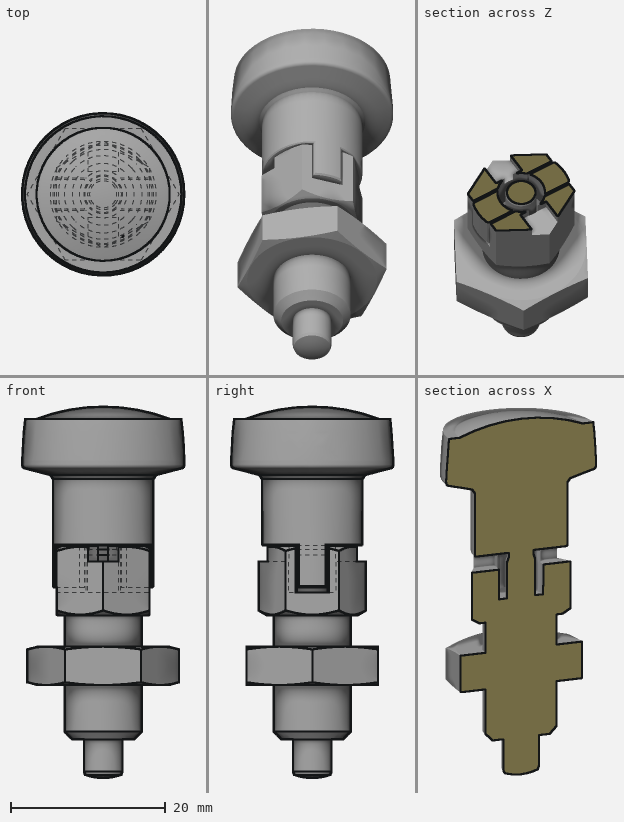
import cadquery as cq
import math


body_diameter = 10.0
body_length = 16.0
body_chamfer = 1.0
pin_diameter = 5.0
pin_length = 5.0
pin_dome_radius = 2.35
pin_dome_height = 0.43
pin_edge_height = 0.4

nut_across_flats = 17.0
nut_thickness = 5.0
nut_top_z = -4.0
nut_chamfer_angle = 15.0
nut_face_diameter = 16.8

collar_across_flats = 12.0
collar_height = 9.0
collar_chamfer_angle = 30.0
collar_face_diameter = 11.6
bore_diameter = 6.1
leg_slot_width = 4.2
leg_slot_floor_z = 3.0
rest_notch_width = 3.9
rest_notch_depth = 2.0
rest_notch_back_y = 2.98

rod_diameter = 4.0
rod_neck_diameter = 3.5
rod_taper_start_z = 7.85
rod_taper_end_z = 8.55

sleeve_diameter = 13.0
sleeve_bottom_z = 9.05
sleeve_edge_chamfer = 0.15
leg_width = 3.8
leg_bottom_z = 3.6
leg_edge_chamfer = 0.2

knob_diameter = 21.0
knob_top_z = 27.0
knob_rim_z = 25.4
knob_rim_diameter = 20.2
knob_dome_diameter = 17.2
knob_side_bulge = 0.08
knob_band_top_z = 20.0
knob_band_bottom_z = 19.5
knob_edge_radius = 0.5
knob_underside_angle = 15.0
flare_diameter = 13.7
flare_bottom_z = 17.65
flare_top_z = 18.15


def cylinder(diameter, bottom_z, top_z):
    return cq.Workplane("XY").workplane(offset=bottom_z).circle(diameter / 2).extrude(top_z - bottom_z)


def box_between(x_size, y_size, bottom_z, top_z):
    box = cq.Workplane("XY").box(x_size, y_size, top_z - bottom_z, centered=(True, True, False))
    return box.translate((0, 0, bottom_z))


def chamfered_hexagon(across_flats, bottom_z, height, face_diameter, chamfer_angle, corner_angle):
    """Hexagonal prism whose corners are turned down conically at both ends."""
    corner_radius = across_flats / 2 / math.cos(math.radians(30))
    drop = (corner_radius - face_diameter / 2) * math.tan(math.radians(chamfer_angle))
    prism = cq.Workplane("XY").polygon(6, 2 * corner_radius).extrude(height)
    prism = prism.rotate((0, 0, 0), (0, 0, 1), corner_angle)
    envelope = (
        cq.Workplane("XZ")
        .moveTo(0, 0)
        .lineTo(face_diameter / 2, 0)
        .lineTo(corner_radius, drop)
        .lineTo(corner_radius, height - drop)
        .lineTo(face_diameter / 2, height)
        .lineTo(0, height)
        .close()
        .revolve(360, (0, 0, 0), (0, 1, 0))
    )
    return prism.intersect(envelope).translate((0, 0, bottom_z))


def dome_mid_point(base_radius, height):
    """Radius and rise of the point halfway along a dome's profile arc."""
    sphere_radius = (base_radius**2 + height**2) / (2 * height)
    half_angle = math.asin(base_radius / sphere_radius) / 2
    return sphere_radius * math.sin(half_angle), height - sphere_radius * (1 - math.cos(half_angle))


def make_body_and_pin():
    body = cylinder(body_diameter, -body_length, 0).faces("<Z").chamfer(body_chamfer)
    pin_radius = pin_diameter / 2
    tip_z = -body_length - pin_length
    dome_base_z = tip_z + pin_dome_height
    mid_radius, mid_rise = dome_mid_point(pin_dome_radius, pin_dome_height)
    pin = (
        cq.Workplane("XZ")
        .moveTo(0, -body_length)
        .lineTo(pin_radius, -body_length)
        .lineTo(pin_radius, dome_base_z + pin_edge_height)
        .lineTo(pin_dome_radius, dome_base_z)
        .threePointArc((mid_radius, dome_base_z - mid_rise), (0, tip_z))
        .close()
        .revolve(360, (0, 0, 0), (0, 1, 0))
    )
    return body.union(pin)


def make_nut():
    return chamfered_hexagon(
        nut_across_flats,
        nut_top_z - nut_thickness,
        nut_thickness,
        nut_face_diameter,
        nut_chamfer_angle,
        corner_angle=0,
    )


def make_collar():
    """Hexagon with corners on Y, slotted along X for the legs and notched on the Y corners."""
    collar = chamfered_hexagon(
        collar_across_flats,
        0,
        collar_height,
        collar_face_diameter,
        collar_chamfer_angle,
        corner_angle=30,
    )
    collar = collar.cut(cylinder(bore_diameter, leg_slot_floor_z, collar_height))
    slot_length = 2 * collar_across_flats
    collar = collar.cut(box_between(slot_length, leg_slot_width, leg_slot_floor_z, collar_height))
    notch_floor_z = collar_height - rest_notch_depth
    notch = box_between(rest_notch_width, collar_across_flats, notch_floor_z, collar_height)
    notch_offset = rest_notch_back_y + collar_across_flats / 2
    for side in (-1, 1):
        collar = collar.cut(notch.translate((0, side * notch_offset, 0)))
    return collar


def make_rod():
    """Stepped rod joining the slot floor to the underside of the sleeve."""
    return (
        cq.Workplane("XZ")
        .moveTo(0, leg_slot_floor_z)
        .lineTo(rod_diameter / 2, leg_slot_floor_z)
        .lineTo(rod_diameter / 2, rod_taper_start_z)
        .lineTo(rod_neck_diameter / 2, rod_taper_end_z)
        .lineTo(rod_neck_diameter / 2, sleeve_bottom_z)
        .lineTo(0, sleeve_bottom_z)
        .close()
        .revolve(360, (0, 0, 0), (0, 1, 0))
    )


def make_legs():
    """Two legs hanging from the sleeve on +X and -X, chamfered around their outer faces."""
    leg_top_z = sleeve_bottom_z + sleeve_edge_chamfer
    ring = cylinder(sleeve_diameter, leg_bottom_z, leg_top_z)
    ring = ring.cut(cylinder(bore_diameter, leg_bottom_z, leg_top_z))
    legs = ring.intersect(box_between(sleeve_diameter, leg_width, leg_bottom_z, leg_top_z))
    largest_arcs = cq.selectors.RadiusNthSelector(-1)
    corner_edges = legs.edges("|Z").filter(lambda edge: abs(edge.Center().x) > collar_across_flats / 2)
    arc_edges = legs.faces("<Z").edges(largest_arcs)
    return corner_edges.add(arc_edges).chamfer(leg_edge_chamfer)


def make_knob():
    """Sleeve, flare, head and dome as one turned profile."""
    sleeve_radius = sleeve_diameter / 2
    knob_radius = knob_diameter / 2
    rim_radius = knob_rim_diameter / 2
    flare_radius = flare_diameter / 2
    dome_radius = knob_dome_diameter / 2
    dome_mid_radius, dome_mid_rise = dome_mid_point(dome_radius, knob_top_z - knob_rim_z)
    side_mid_radius = (knob_radius + rim_radius) / 2 + knob_side_bulge
    side_mid_z = (knob_band_top_z + knob_rim_z) / 2

    underside = math.radians(knob_underside_angle)
    edge_centre_radius = knob_radius - knob_edge_radius
    edge_end_radius = edge_centre_radius + knob_edge_radius * math.sin(underside)
    edge_end_z = knob_band_bottom_z - knob_edge_radius * math.cos(underside)
    edge_mid_angle = (math.pi / 2 - underside) / 2
    edge_mid = (
        edge_centre_radius + knob_edge_radius * math.cos(edge_mid_angle),
        knob_band_bottom_z - knob_edge_radius * math.sin(edge_mid_angle),
    )
    return (
        cq.Workplane("XZ")
        .moveTo(0, sleeve_bottom_z)
        .lineTo(sleeve_radius - sleeve_edge_chamfer, sleeve_bottom_z)
        .lineTo(sleeve_radius, sleeve_bottom_z + sleeve_edge_chamfer)
        .lineTo(sleeve_radius, flare_bottom_z)
        .lineTo(flare_radius, flare_top_z)
        .lineTo(edge_end_radius, edge_end_z)
        .threePointArc(edge_mid, (knob_radius, knob_band_bottom_z))
        .lineTo(knob_radius, knob_band_top_z)
        .threePointArc((side_mid_radius, side_mid_z), (rim_radius, knob_rim_z))
        .lineTo(dome_radius, knob_rim_z)
        .threePointArc((dome_mid_radius, knob_rim_z + dome_mid_rise), (0, knob_top_z))
        .close()
        .revolve(360, (0, 0, 0), (0, 1, 0))
    )


result = (
    make_body_and_pin()
    .union(make_nut())
    .union(make_collar())
    .union(make_rod())
    .union(make_knob())
    .union(make_legs())
)